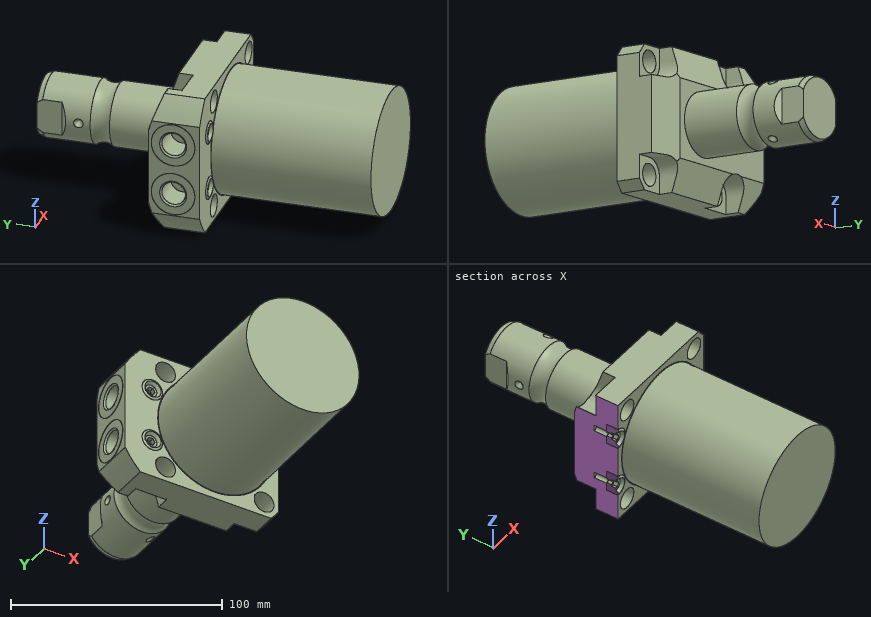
import cadquery as cq
import math


barrel_radius = 31.4
barrel_length = 79.3
ring_recess_radius = 31.7
ring_recess_depth = 0.2

flange_thickness = 25.4
flange_left = 50.0
flange_right = 35.5
flange_height = 70.9
flange_half_height = flange_height / 2
right_corner_x = 4.1
right_corner_z = 5.0
left_corner_x = 8.4
left_corner_z = 11.2
left_corner_radius = 55.2
bevel_width = 16.0
bevel_depth = 5.3

hole_offset = 27.5
hole_radius = 5.5
recess_radius = 8.5
recess_depth = 12.4

port_y = 13.2
port_z = 12.9
port_radius = 5.8
port_mouth_radius = 6.7
port_depth = 15.1
spotface_radius = 10.8
spotface_depth = 0.2

screw_x = -34.8
screw_z = 14.5
screw_radius = 5.7
screw_length = 6.5
screw_rise = 0.7
screw_rim_radius = 4.5
screw_floor_radius = 3.3
screw_recess_depth = 1.2
socket_across_flats = 3.8
socket_depth = 2.5
socket_drill_radius = 1.0
passage_radius = 1.5
passage_end = 13.7

rod_radius = 16.0
overall_length = 171.5
rod_end = overall_length - barrel_length
rod_chamfer_length = 3.0
rod_chamfer_width = 1.0
groove_start = 55.5
groove_end = 65.0
groove_depth = 1.5
flat_half_width = 13.4
flat_length = 12.5
dimple_radius = 2.4
dimple_y = 70.9
dimple_depth = 2.7
dimple_count = 3

SIDES = (1, -1)


def cylinder_along_y(x, z, radius, start, end):
    """Cylinder parallel to Y between two Y positions."""
    start_centre = cq.Vector(x, start, z)
    return cq.Workplane(cq.Solid.makeCylinder(radius, end - start, start_centre, cq.Vector(0, 1, 0)))


def box_between(x_range, y_range, z_range):
    """Box spanning the given ranges."""
    sizes = [high - low for low, high in (x_range, y_range, z_range)]
    corner = cq.Vector(x_range[0], y_range[0], z_range[0])
    return cq.Workplane(cq.Solid.makeBox(*sizes, corner))


def make_flange_plate():
    """Plate with chamfered right corners and large-radius left corners."""
    chord = math.hypot(left_corner_x, left_corner_z)
    sagitta = left_corner_radius - math.sqrt(left_corner_radius**2 - (chord / 2) ** 2)
    arc_x = -flange_left + left_corner_x / 2 - sagitta * left_corner_z / chord
    arc_z = flange_half_height - left_corner_z / 2 + sagitta * left_corner_x / chord
    inner_left = -flange_left + left_corner_x
    inner_right = flange_right - right_corner_x
    shoulder_left = flange_half_height - left_corner_z
    shoulder_right = flange_half_height - right_corner_z
    return (
        cq.Workplane("XZ")
        .moveTo(inner_left, flange_half_height)
        .lineTo(inner_right, flange_half_height)
        .lineTo(flange_right, shoulder_right)
        .lineTo(flange_right, -shoulder_right)
        .lineTo(inner_right, -flange_half_height)
        .lineTo(inner_left, -flange_half_height)
        .threePointArc((arc_x, -arc_z), (-flange_left, -shoulder_left))
        .lineTo(-flange_left, shoulder_left)
        .threePointArc((arc_x, arc_z), (inner_left, flange_half_height))
        .close()
        .extrude(-flange_thickness)
    )


def bevel_back_edges(flange):
    """Bevel the back of the flange along its top, bottom and right sides."""
    flange_width = flange_left + flange_right
    bevel_start = flange_thickness - bevel_depth
    for side in SIDES:
        wedge = (
            cq.Workplane("YZ")
            .moveTo(flange_thickness, side * (flange_half_height - bevel_width))
            .lineTo(bevel_start, side * flange_half_height)
            .lineTo(flange_thickness, side * flange_half_height)
            .close()
            .extrude(flange_width, both=True)
        )
        flange = flange.cut(wedge)
    right_wedge = (
        cq.Workplane("XY")
        .moveTo(flange_right - bevel_width, flange_thickness)
        .lineTo(flange_right, bevel_start)
        .lineTo(flange_right, flange_thickness)
        .close()
        .extrude(flange_half_height, both=True)
    )
    return flange.cut(right_wedge)


def cut_mounting_holes(flange):
    """Through holes, each with a round recess that opens towards the nearest sides of the flange."""
    recess_floor = flange_thickness - recess_depth
    recess_range = (recess_floor, flange_thickness)
    for x_side in SIDES:
        for z_side in SIDES:
            x = x_side * hole_offset
            z = z_side * hole_offset
            flange = flange.cut(cylinder_along_y(x, z, hole_radius, 0, flange_thickness))
            flange = flange.cut(cylinder_along_y(x, z, recess_radius, *recess_range))
            outer_z_range = sorted((z, z_side * flange_half_height))
            x_range = (x - recess_radius, x + recess_radius)
            flange = flange.cut(box_between(x_range, recess_range, outer_z_range))
            if x_side > 0:
                wide_z_range = sorted((z - z_side * recess_radius, z_side * flange_half_height))
                flange = flange.cut(box_between((x, flange_right), recess_range, wide_z_range))
    return flange


def cut_ports(body):
    """Hydraulic ports with a shallow spotface and a 45 degree mouth."""
    mouth_depth = port_mouth_radius - port_radius
    port_profile = (
        cq.Workplane("XY")
        .moveTo(0, 0)
        .lineTo(0, spotface_radius)
        .lineTo(spotface_depth, spotface_radius)
        .lineTo(spotface_depth, port_mouth_radius)
        .lineTo(spotface_depth + mouth_depth, port_radius)
        .lineTo(port_depth, port_radius)
        .lineTo(port_depth, 0)
        .close()
    )
    port = port_profile.revolve(360, (0, 0, 0), (1, 0, 0))
    for side in SIDES:
        body = body.cut(port.translate((-flange_left, port_y, side * port_z)))
    return body


def cut_screw_bores(body):
    """Bores that hold the throttle screws, with a narrow passage from each bore to its port."""
    for side in SIDES:
        z = side * screw_z
        body = body.cut(cylinder_along_y(screw_x, z, screw_radius, 0, screw_length))
        body = body.cut(cylinder_along_y(screw_x, z, passage_radius, screw_length, passage_end))
    return body


def make_rod():
    """Rod with a chamfered end, a round-bottomed groove and two flats that run out at 45 degrees."""
    groove_middle = (groove_start + groove_end) / 2
    rod = (
        cq.Workplane("XY")
        .moveTo(0, 0)
        .lineTo(rod_radius, 0)
        .lineTo(rod_radius, groove_start)
        .threePointArc((rod_radius - groove_depth, groove_middle), (rod_radius, groove_end))
        .lineTo(rod_radius, rod_end - rod_chamfer_length)
        .lineTo(rod_radius - rod_chamfer_width, rod_end)
        .lineTo(0, rod_end)
        .close()
        .revolve(360, (0, 0, 0), (0, 1, 0))
    )
    flat_depth = rod_radius - flat_half_width
    flat_start = rod_end - flat_length
    for side in SIDES:
        flat_cut = (
            cq.Workplane("XY")
            .moveTo(side * flat_half_width, rod_end)
            .lineTo(side * flat_half_width, flat_start)
            .lineTo(side * rod_radius, flat_start - flat_depth)
            .lineTo(side * rod_radius, rod_end)
            .close()
            .extrude(rod_radius, both=True)
        )
        rod = rod.cut(flat_cut)
    return cut_dimples(rod)


def cut_dimples(rod):
    """Conical dimples spaced evenly around the rod, the first one on the -X side."""
    for index in range(dimple_count):
        angle = math.pi + index * 2 * math.pi / dimple_count
        outward = cq.Vector(math.cos(angle), 0, math.sin(angle))
        apex = outward * (rod_radius - dimple_depth) + cq.Vector(0, dimple_y, 0)
        dimple = cq.Solid.makeCone(0, dimple_radius, dimple_depth, apex, outward)
        rod = rod.cut(cq.Workplane(dimple))
    return rod


def make_housing():
    """Barrel, flange and rod in one body, with a shallow ring recess around the barrel."""
    flange = cut_mounting_holes(bevel_back_edges(make_flange_plate()))
    ring_recess = cylinder_along_y(0, 0, ring_recess_radius, 0, ring_recess_depth)
    barrel = cylinder_along_y(0, 0, barrel_radius, -barrel_length, ring_recess_depth)
    housing = flange.cut(ring_recess).union(barrel).union(make_rod())
    return cut_screw_bores(cut_ports(housing))


def make_throttle_screw(side):
    """Screw with a raised conical rim around a countersunk hexagon socket."""
    screw = (
        cq.Workplane("XY")
        .moveTo(0, screw_length)
        .lineTo(screw_radius, screw_length)
        .lineTo(screw_radius, 0)
        .lineTo(screw_rim_radius, -screw_rise)
        .lineTo(screw_floor_radius, screw_recess_depth)
        .lineTo(0, screw_recess_depth)
        .close()
        .revolve(360, (0, 0, 0), (0, 1, 0))
    )
    socket = (
        cq.Workplane("XZ", origin=(0, screw_recess_depth, 0))
        .polygon(6, socket_across_flats / math.cos(math.pi / 6))
        .extrude(-socket_depth)
    )
    drill_hole = cylinder_along_y(0, 0, socket_drill_radius, screw_recess_depth, screw_length)
    return screw.cut(socket).cut(drill_hole).translate((screw_x, 0, side * screw_z))


housing = make_housing()
throttle_screws = [make_throttle_screw(side) for side in SIDES]

result = cq.Compound.makeCompound([
    housing.val(),
    *[screw.val() for screw in throttle_screws],
])